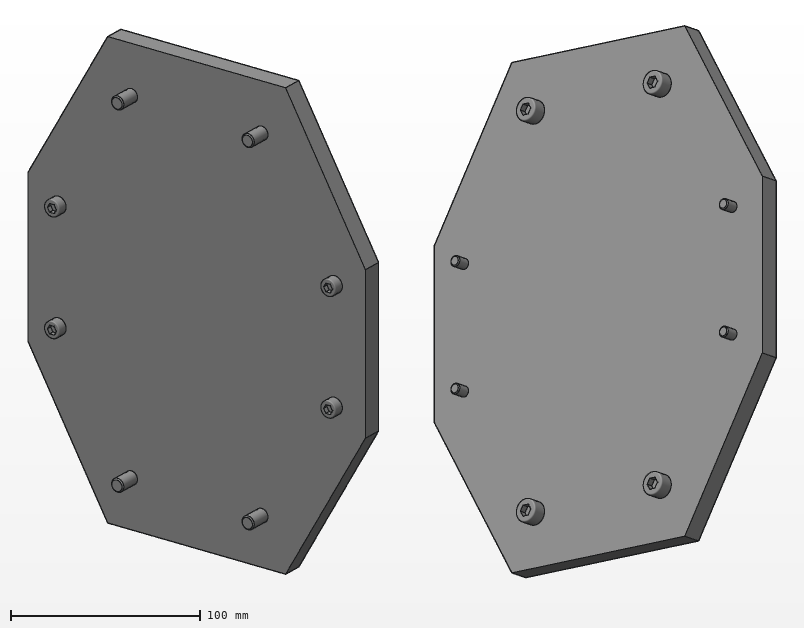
import cadquery as cq
import math

plate_width = 220.0
plate_height = 280.0
plate_thickness = 12.0
top_edge_length = 116.0
side_edge_length = 97.0
front_y = 0.0
back_y = front_y + plate_thickness

large_diameter = 8.0
large_length = 25.0
large_head_diameter = 13.0
large_socket_width = 6.0
large_tip_chamfer = 0.7
large_spacing_x = 85.0
large_spacing_z = 220.0

small_diameter = 6.0
small_length = 20.0
small_head_diameter = 10.0
small_socket_width = 5.0
small_tip_chamfer = 0.6
small_spacing_x = 180.0
small_spacing_z = 70.0

head_rounding_ratio = 0.1
socket_depth_ratio = 0.5


def make_plate():
    half_width = plate_width / 2
    half_height = plate_height / 2
    half_top = top_edge_length / 2
    half_side = side_edge_length / 2
    outline = [
        (half_top, half_height),
        (half_width, half_side),
        (half_width, -half_side),
        (half_top, -half_height),
        (-half_top, -half_height),
        (-half_width, -half_side),
        (-half_width, half_side),
        (-half_top, half_height),
    ]
    return cq.Workplane("XZ", origin=(0, front_y, 0)).polyline(outline).close().extrude(-plate_thickness)


def make_screw(diameter, length, head_diameter, socket_width, tip_chamfer):
    """Screw along Z: the head's bearing face is at Z = 0, the shank points to -Z."""
    head_height = diameter
    socket_corner_diameter = socket_width / math.cos(math.pi / 6)
    shank = cq.Workplane("XY").circle(diameter / 2).extrude(-length)
    shank = shank.faces("<Z").chamfer(tip_chamfer)
    head = cq.Workplane("XY").circle(head_diameter / 2).extrude(head_height)
    head = head.faces(">Z").edges().fillet(head_rounding_ratio * diameter)
    socket = (
        cq.Workplane("XY", origin=(0, 0, head_height))
        .polygon(6, socket_corner_diameter)
        .extrude(-socket_depth_ratio * diameter)
    )
    return head.union(shank).cut(socket)


def add_screws(body, screw, spacing_x, spacing_z, bearing_y):
    """Place one screw at each corner of a centred rectangle."""
    for side_x in (-1, 1):
        for side_z in (-1, 1):
            position = (side_x * spacing_x / 2, bearing_y, side_z * spacing_z / 2)
            body = body.union(screw.translate(position))
    return body


large_screw = make_screw(
    large_diameter, large_length, large_head_diameter, large_socket_width, large_tip_chamfer
)
small_screw = make_screw(
    small_diameter, small_length, small_head_diameter, small_socket_width, small_tip_chamfer
)

head_to_back = large_screw.rotate((0, 0, 0), (1, 0, 0), -90)
head_to_front = small_screw.rotate((0, 0, 0), (1, 0, 0), 90)

result = make_plate()
result = add_screws(result, head_to_back, large_spacing_x, large_spacing_z, back_y)
result = add_screws(result, head_to_front, small_spacing_x, small_spacing_z, front_y)